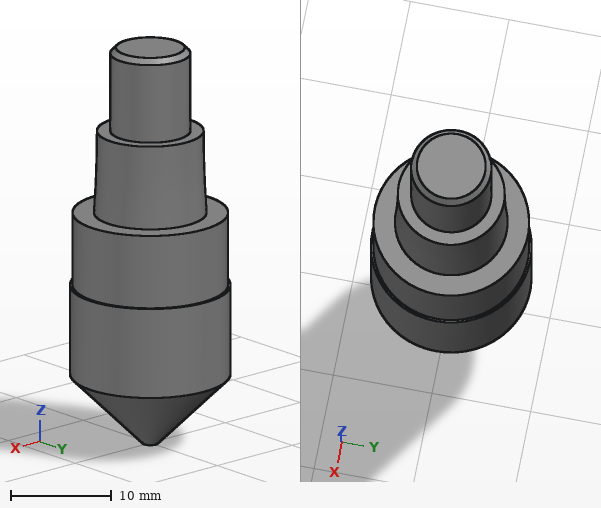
import cadquery as cq
import math

total_height = 41.25
neck_top = 32.6
collar_top = 24.05
head_top = 16.5
cone_height = 7.2

head_radius = 8.0
collar_radius = 7.75
neck_base_radius = 5.6
neck_top_radius = 5.32
stud_radius = 4.0

stud_chamfer = 0.58
tip_radius = head_radius - cone_height


def make_head():
    """Cylindrical head with a conical point below it."""
    outline = (
        cq.Workplane("XZ")
        .lineTo(tip_radius, 0)
        .lineTo(head_radius, cone_height)
        .lineTo(head_radius, head_top)
        .lineTo(0, head_top)
        .close()
    )
    return outline.revolve(360, (0, 0, 0), (0, 1, 0))


def make_shank():
    """Collar, flared neck and chamfered stud standing on the head."""
    outline = (
        cq.Workplane("XZ")
        .moveTo(0, head_top)
        .lineTo(collar_radius, head_top)
        .lineTo(collar_radius, collar_top)
        .lineTo(stud_radius, collar_top)
        .lineTo(stud_radius, total_height - stud_chamfer)
        .lineTo(stud_radius - stud_chamfer, total_height)
        .lineTo(0, total_height)
        .close()
    )
    stepped_shaft = outline.revolve(360, (0, 0, 0), (0, 1, 0))
    return stepped_shaft.union(make_neck())


def make_neck():
    """Neck whose side leaves the top vertically and flares out in an arc."""
    flare = neck_base_radius - neck_top_radius
    neck_height = neck_top - collar_top
    arc_radius = (neck_height**2 + flare**2) / (2 * flare)
    half_angle = math.asin(neck_height / arc_radius) / 2
    arc_middle = (
        neck_top_radius + arc_radius * (1 - math.cos(half_angle)),
        neck_top - arc_radius * math.sin(half_angle),
    )
    neck_outline = (
        cq.Workplane("XZ")
        .moveTo(0, neck_top)
        .lineTo(neck_top_radius, neck_top)
        .threePointArc(arc_middle, (neck_base_radius, collar_top))
        .lineTo(0, collar_top)
        .close()
    )
    return neck_outline.revolve(360, (0, 0, 0), (0, 1, 0))


head = make_head()
shank = make_shank()

result = cq.Compound.makeCompound([head.val(), shank.val()])